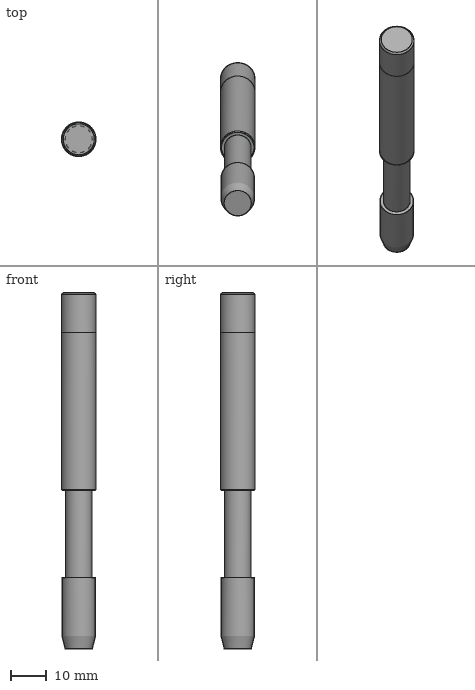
import cadquery as cq

LENGTH = 100.0
BODY_DIAMETER = 9.7

TAPER_HEIGHT = 3.6
COLLAR_TOP = 20.0
BARREL_BOTTOM = 44.5
CAP_BOTTOM = 88.8

TIP_DIAMETER = 7.6
COLLAR_DIAMETER = 9.4
NECK_DIAMETER = 7.5
CAP_CHAMFER = 0.5
BARREL_CHAMFER = 0.3


def cylinder(diameter, bottom, top):
    """Cylinder about the Z axis between two heights."""
    return cq.Workplane("XY").workplane(offset=bottom).circle(diameter / 2).extrude(top - bottom)


def make_tapered_tip():
    """Cone that widens from the tip up to the collar."""
    return (
        cq.Workplane("XY")
        .circle(TIP_DIAMETER / 2)
        .workplane(offset=TAPER_HEIGHT)
        .circle(COLLAR_DIAMETER / 2)
        .loft(ruled=True)
    )


def make_shaft():
    """Barrel, neck, collar and tapered tip turned from one bar."""
    collar = cylinder(COLLAR_DIAMETER, TAPER_HEIGHT, COLLAR_TOP)
    neck = cylinder(NECK_DIAMETER, COLLAR_TOP, BARREL_BOTTOM)
    barrel = cylinder(BODY_DIAMETER, BARREL_BOTTOM, CAP_BOTTOM).faces("<Z").chamfer(BARREL_CHAMFER)
    return make_tapered_tip().union(collar).union(neck).union(barrel)


def make_cap():
    """Flush end cap with a chamfered top rim."""
    return cylinder(BODY_DIAMETER, CAP_BOTTOM, LENGTH).faces(">Z").chamfer(CAP_CHAMFER)


shaft = make_shaft()
cap = make_cap()

result = cq.Compound.makeCompound([shaft.val(), cap.val()])